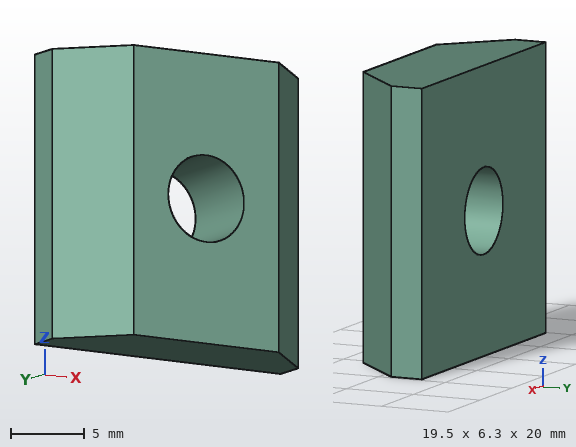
import cadquery as cq

width = 19.5
thickness = 6.3
height = 20.0

bevel = 4.0
hole_diameter = 6.0

block = cq.Workplane("XY").box(width, thickness, height)
beveled_block = block.faces("<Y").edges("|Z").chamfer(bevel)

result = beveled_block.faces("<Y").workplane(centerOption="CenterOfBoundBox").hole(hole_diameter)